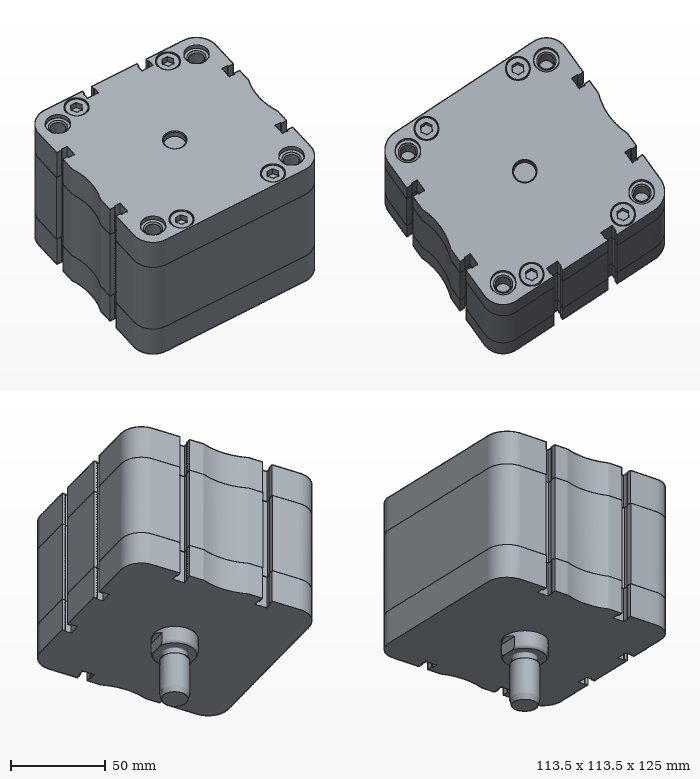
import cadquery as cq
import math

SIDE = 113.5
CORNER_RADIUS = 12.2
CAP_HEIGHT = 19.5
BARREL_HEIGHT = 48.0

SCOOP_WIDTH = 27.0
SCOOP_DEPTH = 2.5

SLOT_NECK_WIDTH = 5.8
SLOT_WIDTH = 7.0
CAP_Y_SIDE_SLOT_OFFSET = 24.9
BARREL_Y_SIDE_SLOT_OFFSET = 25.0
Y_SIDE_NECK_DEPTH = 3.4
CAP_Y_SIDE_SLOT_DEPTH = 7.0
BARREL_Y_SIDE_SLOT_DEPTH = 6.6
MINUS_X_SLOT_OFFSET = 17.5
MINUS_X_NECK_DEPTH = 2.0
MINUS_X_SLOT_DEPTH = 5.8

MOUNT_OFFSET = 44.5
MOUNT_RECESS_DIAMETER = 13.5
MOUNT_RECESS_DEPTH = 2.6
MOUNT_MOUTH_DIAMETER = 10.1
MOUNT_HOLE_DIAMETER = 8.4
MOUNT_HOLE_DEPTH = 15.0

SCREW_X = 49.1
SCREW_Y = 29.4
SCREW_HEAD_DIAMETER = 12.1
SCREW_RECESS_DIAMETER = 13.1
SCREW_RECESS_DEPTH = 0.5
HEX_ACROSS_FLATS = 6.0
HEX_DEPTH = 3.8

CENTRE_DIAMETER = 12.0
CENTRE_DEPTH = 3.8
CENTRE_CHAMFER = 0.5

ROD_DIAMETER = 25.0
SHOULDER_DROP = 10.0
SHOULDER_ROUND_HEIGHT = 1.9
SHOULDER_ROUND_WIDTH = 0.9
FLATS_ACROSS = 22.0
FLATS_TOP_DROP = 2.8
THREAD_DIAMETER = 16.0
UNDERCUT_DIAMETER = 14.0
UNDERCUT_LENGTH = 2.9
UNDERCUT_ROOT_RADIUS = 0.5
UNDERCUT_EXIT_RADIUS = 1.0
TIP_DROP = 38.0
TIP_CHAMFER_LENGTH = 3.2

HALF_SIDE = SIDE / 2
BARREL_BASE = CAP_HEIGHT
END_CAP_BASE = BARREL_BASE + BARREL_HEIGHT
HOUSING_TOP = END_CAP_BASE + CAP_HEIGHT


def slot_cutter(neck_depth, slot_depth, height):
    """T-shaped bar that enters the -Y side at X = 0."""
    neck = cq.Workplane("XY").box(SLOT_NECK_WIDTH, slot_depth, height, centered=(True, False, False))
    undercut = (
        cq.Workplane("XY")
        .box(SLOT_WIDTH, slot_depth - neck_depth, height, centered=(True, False, False))
        .translate((0, neck_depth, 0))
    )
    return neck.union(undercut).translate((0, -HALF_SIDE, 0))


def scoop_cutter(height):
    """Segment of a cylinder that hollows the middle of the -Y side."""
    radius = (SCOOP_WIDTH ** 2 / 4 + SCOOP_DEPTH ** 2) / (2 * SCOOP_DEPTH)
    return cq.Workplane("XY").center(0, SCOOP_DEPTH - HALF_SIDE - radius).circle(radius).extrude(height)


def housing_block(base, height, y_side_slot_offset, y_side_slot_depth):
    """Length of the housing section: square with scoops and slots."""
    block = (
        cq.Workplane("XY")
        .box(SIDE, SIDE, height, centered=(True, True, False))
        .edges("|Z")
        .fillet(CORNER_RADIUS)
    )
    for turn in (0, 180):
        block = block.cut(scoop_cutter(height).rotate((0, 0, 0), (0, 0, 1), turn))
    for side in (-1, 1):
        y_side_slot = slot_cutter(Y_SIDE_NECK_DEPTH, y_side_slot_depth, height)
        y_side_slot = y_side_slot.translate((side * y_side_slot_offset, 0, 0))
        for turn in (0, 180):
            block = block.cut(y_side_slot.rotate((0, 0, 0), (0, 0, 1), turn))
        minus_x_slot = slot_cutter(MINUS_X_NECK_DEPTH, MINUS_X_SLOT_DEPTH, height)
        minus_x_slot = minus_x_slot.translate((side * MINUS_X_SLOT_OFFSET, 0, 0))
        block = block.cut(minus_x_slot.rotate((0, 0, 0), (0, 0, 1), -90))
    return block.translate((0, 0, base))


def cap_block(base):
    """Blank of either cap."""
    return housing_block(base, CAP_HEIGHT, CAP_Y_SIDE_SLOT_OFFSET, CAP_Y_SIDE_SLOT_DEPTH)


def make_front_cap():
    """Lower cap, bored through for the rod."""
    rod_bore = cq.Workplane("XY").circle(ROD_DIAMETER / 2).extrude(CAP_HEIGHT)
    return cap_block(0).cut(rod_bore)


def make_barrel():
    """Middle length of the housing, between the two caps."""
    return housing_block(BARREL_BASE, BARREL_HEIGHT, BARREL_Y_SIDE_SLOT_OFFSET, BARREL_Y_SIDE_SLOT_DEPTH)


def cut_mounting_holes(cap):
    """Cut recessed blind holes, each with a 45 degree countersunk mouth."""
    return (
        cap.faces(">Z")
        .workplane(origin=(0, 0, HOUSING_TOP))
        .rect(2 * MOUNT_OFFSET, 2 * MOUNT_OFFSET, forConstruction=True)
        .vertices()
        .hole(MOUNT_HOLE_DIAMETER, MOUNT_HOLE_DEPTH)
        .cut(mount_mouths())
    )


def mount_mouths():
    """Cutter for the flat-bottomed recess and countersink of all the mounting holes."""
    mouth_radius = MOUNT_MOUTH_DIAMETER / 2
    hole_radius = MOUNT_HOLE_DIAMETER / 2
    recess_floor = HOUSING_TOP - MOUNT_RECESS_DEPTH
    profile = (
        cq.Workplane("XZ")
        .moveTo(0, HOUSING_TOP)
        .lineTo(MOUNT_RECESS_DIAMETER / 2, HOUSING_TOP)
        .lineTo(MOUNT_RECESS_DIAMETER / 2, recess_floor)
        .lineTo(mouth_radius, recess_floor)
        .lineTo(hole_radius, recess_floor - (mouth_radius - hole_radius))
        .lineTo(0, recess_floor - (mouth_radius - hole_radius))
        .close()
    )
    mouth = profile.revolve(360, (0, 0, 0), (0, 1, 0)).val()
    return (
        cq.Workplane("XY")
        .rect(2 * MOUNT_OFFSET, 2 * MOUNT_OFFSET, forConstruction=True)
        .vertices()
        .eachpoint(lambda place: mouth.moved(place))
    )


def cut_screw_heads(cap):
    """Sink each screw head with a 45 degree bevel round it and a hexagon socket in its middle."""
    recess_radius = SCREW_RECESS_DIAMETER / 2
    head_radius = SCREW_HEAD_DIAMETER / 2
    bevel_height = recess_radius - head_radius
    hex_corner_diameter = HEX_ACROSS_FLATS / math.cos(math.radians(30))
    for x in (-SCREW_X, SCREW_X):
        for y in (-SCREW_Y, SCREW_Y):
            bevel_foot = cq.Workplane("XY", origin=(x, y, HOUSING_TOP - SCREW_RECESS_DEPTH - bevel_height))
            recess = bevel_foot.circle(recess_radius).extrude(bevel_height + SCREW_RECESS_DEPTH)
            head = bevel_foot.circle(recess_radius).workplane(offset=bevel_height).circle(head_radius).loft()
            head_top = cq.Workplane("XY", origin=(x, y, HOUSING_TOP - SCREW_RECESS_DEPTH))
            socket = (
                head_top.transformed(rotate=(0, 0, 90))
                .polygon(6, hex_corner_diameter)
                .extrude(-HEX_DEPTH)
            )
            cap = cap.cut(recess.cut(head)).cut(socket)
    return cap


def cut_centre_recess(cap):
    """Cut the round recess with its 45 degree mouth chamfer."""
    top = cq.Workplane("XY", origin=(0, 0, HOUSING_TOP))
    recess = top.circle(CENTRE_DIAMETER / 2).extrude(-CENTRE_DEPTH)
    mouth = (
        top.circle(CENTRE_DIAMETER / 2 + CENTRE_CHAMFER)
        .workplane(offset=-CENTRE_CHAMFER)
        .circle(CENTRE_DIAMETER / 2)
        .loft()
    )
    return cap.cut(recess).cut(mouth)


def make_end_cap():
    """Upper cap with mounting holes, screw heads and a centre recess."""
    cap = cap_block(END_CAP_BASE)
    cap = cut_mounting_holes(cap)
    cap = cut_screw_heads(cap)
    return cut_centre_recess(cap)


def make_rod():
    """Turned rod with a threaded end and two wrench flats on its +X and -X sides."""
    rod_radius = ROD_DIAMETER / 2
    thread_radius = THREAD_DIAMETER / 2
    undercut_radius = UNDERCUT_DIAMETER / 2
    relief = thread_radius - undercut_radius
    undercut_end = -SHOULDER_DROP - UNDERCUT_LENGTH
    exit_tangent = UNDERCUT_EXIT_RADIUS * math.tan(math.radians(45 / 2))
    exit_offset = exit_tangent * math.cos(math.radians(45))
    turned = (
        cq.Workplane("XZ")
        .moveTo(0, CAP_HEIGHT)
        .lineTo(rod_radius, CAP_HEIGHT)
        .lineTo(rod_radius, SHOULDER_ROUND_HEIGHT - SHOULDER_DROP)
        .tangentArcPoint((rod_radius - SHOULDER_ROUND_WIDTH, -SHOULDER_DROP), relative=False)
        .lineTo(undercut_radius + UNDERCUT_ROOT_RADIUS, -SHOULDER_DROP)
        .radiusArc((undercut_radius, -SHOULDER_DROP - UNDERCUT_ROOT_RADIUS), -UNDERCUT_ROOT_RADIUS)
        .lineTo(undercut_radius, undercut_end + exit_tangent)
        .tangentArcPoint((undercut_radius + exit_offset, undercut_end - exit_offset), relative=False)
        .lineTo(thread_radius, undercut_end - relief)
        .lineTo(thread_radius, TIP_CHAMFER_LENGTH - TIP_DROP)
        .lineTo(undercut_radius, -TIP_DROP)
        .lineTo(0, -TIP_DROP)
        .close()
        .revolve(360, (0, 0, 0), (0, 1, 0))
    )
    flat_distance = FLATS_ACROSS / 2
    cut_depth = rod_radius - flat_distance
    flat_cutter = (
        cq.Workplane("XZ")
        .moveTo(flat_distance, -SHOULDER_DROP)
        .lineTo(flat_distance, -FLATS_TOP_DROP)
        .lineTo(flat_distance + cut_depth, cut_depth - FLATS_TOP_DROP)
        .lineTo(flat_distance + cut_depth, -SHOULDER_DROP)
        .close()
        .extrude(rod_radius, both=True)
    )
    return turned.cut(flat_cutter).cut(flat_cutter.mirror("YZ"))


front_cap = make_front_cap()
barrel = make_barrel()
end_cap = make_end_cap()
rod = make_rod()

result = cq.Compound.makeCompound([front_cap.val(), barrel.val(), end_cap.val(), rod.val()])